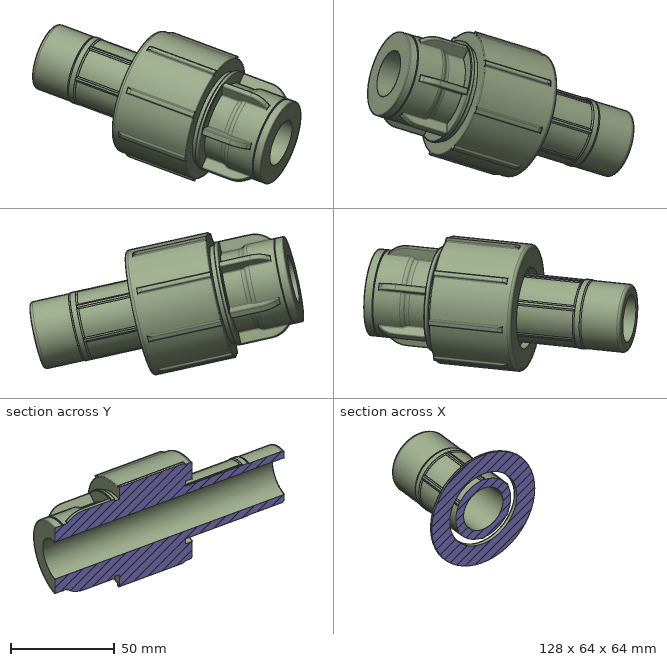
import cadquery as cq
import math

LENGTH = 128.0

bore_dia = 23.3
pipe_dia = 33.3
pipe_end_round = 1.7
shoulder_dia = 33.9
shoulder_start = 19.7
shoulder_end = 24.0
lead_in_slope = 0.8
back_slope = 0.9

pipe_rib_count = 6
pipe_rib_base = 2.7
pipe_rib_top = 1.2

nut_dia = 62.1
nut_start = 51.2
nut_end = 92.2
nut_round = 1.7
nut_recess_dia = 40.0
nut_recess_depth = 3.8

grip_count = 8
grip_dia = 64.0
grip_start = 55.3
grip_width = 2.7
grip_end_length = 2.2
grip_end_height = 0.8

collar_dia = 48.6
flange_dia = 51.2
flange_start = 94.5
flange_end = 96.5
neck_dia = 39.7
swell_start = 105.6
swell_end = 109.8
socket_dia = 42.4
groove_start = 123.4
groove_width = 0.4
groove_depth = 0.4

fin_count = 6
fin_thickness = 3.2
fin_arc_start = 111.7
fin_arc_end = 119.5
fin_arc_end_radius = 22.8
fin_end = 121.1
fin_root_round = 0.3

edge_round = 0.4
overlap = 1.3


def around_axis(feature, count):
    """Copies of a feature built at +Z, evenly spaced about the X axis."""
    copies = cq.Workplane("XY")
    for i in range(count):
        copies = copies.add(feature.rotate((0, 0, 0), (1, 0, 0), i * 360 / count))
    return copies


def turned_body():
    pipe_radius = pipe_dia / 2
    nut_radius = nut_dia / 2
    flange_radius = flange_dia / 2
    neck_radius = neck_dia / 2
    socket_radius = socket_dia / 2
    shoulder_radius = shoulder_dia / 2
    recess_floor = nut_start + nut_recess_depth
    swell_middle = ((swell_start + swell_end) / 2, (neck_radius + socket_radius) / 2)
    groove_end = groove_start + groove_width
    groove_radius = socket_radius - groove_depth
    return (
        cq.Workplane("XY")
        .moveTo(0, bore_dia / 2)
        .lineTo(0, pipe_radius - pipe_end_round)
        .radiusArc((pipe_end_round, pipe_radius), pipe_end_round)
        .lineTo(shoulder_start, pipe_radius)
        .lineTo(shoulder_start + lead_in_slope, shoulder_radius)
        .lineTo(shoulder_end - back_slope, shoulder_radius)
        .lineTo(shoulder_end, pipe_radius)
        .lineTo(recess_floor, pipe_radius)
        .lineTo(recess_floor, nut_recess_dia / 2)
        .lineTo(nut_start, nut_recess_dia / 2)
        .lineTo(nut_start, nut_radius - nut_round)
        .radiusArc((nut_start + nut_round, nut_radius), nut_round)
        .lineTo(nut_end - edge_round, nut_radius)
        .radiusArc((nut_end, nut_radius - edge_round), edge_round)
        .lineTo(nut_end, collar_dia / 2)
        .lineTo(flange_start, collar_dia / 2)
        .lineTo(flange_start, flange_radius - edge_round)
        .radiusArc((flange_start + edge_round, flange_radius), edge_round)
        .lineTo(flange_end - edge_round, flange_radius)
        .radiusArc((flange_end, flange_radius - edge_round), edge_round)
        .lineTo(flange_end, neck_radius)
        .lineTo(swell_start, neck_radius)
        .tangentArcPoint(swell_middle, relative=False)
        .tangentArcPoint((swell_end, socket_radius), relative=False)
        .lineTo(groove_start, socket_radius)
        .lineTo(groove_start, groove_radius)
        .lineTo(groove_end, groove_radius)
        .lineTo(groove_end, socket_radius)
        .lineTo(LENGTH - edge_round, socket_radius)
        .radiusArc((LENGTH, socket_radius - edge_round), edge_round)
        .lineTo(LENGTH, bore_dia / 2)
        .close()
        .revolve(360, (0, 0, 0), (1, 0, 0))
    )


def pipe_rib():
    """Low rib with sloped sides, flush with the shoulder."""
    start = shoulder_end - back_slope
    end = nut_start + nut_recess_depth
    half_base = pipe_rib_base / 2
    half_top = pipe_rib_top / 2
    foot = pipe_dia / 2 - overlap
    base_height = math.sqrt((pipe_dia / 2) ** 2 - half_base ** 2)
    top = shoulder_dia / 2
    return (
        cq.Workplane("YZ", origin=(start, 0, 0))
        .moveTo(-half_base, foot)
        .lineTo(half_base, foot)
        .lineTo(half_base, base_height)
        .lineTo(half_top, top)
        .lineTo(-half_top, top)
        .lineTo(-half_base, base_height)
        .close()
        .extrude(end - start)
    )


def grip_rib():
    """Rib with rounded top edges, flared root and a rounded front end."""
    nut_radius = nut_dia / 2
    top = grip_dia / 2
    foot = nut_radius - overlap
    half_wall = grip_width / 2
    half_top = half_wall - edge_round
    half_base = half_wall + edge_round
    base_height = math.sqrt(nut_radius ** 2 - half_base ** 2)
    bar = (
        cq.Workplane("YZ", origin=(grip_start, 0, 0))
        .moveTo(-half_base, foot)
        .lineTo(half_base, foot)
        .lineTo(half_base, base_height)
        .radiusArc((half_wall, base_height + edge_round), edge_round)
        .lineTo(half_wall, top - edge_round)
        .radiusArc((half_top, top), -edge_round)
        .lineTo(-half_top, top)
        .radiusArc((-half_wall, top - edge_round), -edge_round)
        .lineTo(-half_wall, base_height + edge_round)
        .radiusArc((-half_base, base_height), edge_round)
        .close()
        .extrude(nut_end - grip_start)
    )
    arc_radius = (grip_end_length ** 2 + grip_end_height ** 2) / (2 * grip_end_height)
    side_outline = (
        cq.Workplane("XZ")
        .moveTo(grip_start, foot)
        .lineTo(grip_start, top - grip_end_height)
        .radiusArc((grip_start + grip_end_length, top), arc_radius)
        .lineTo(nut_end, top)
        .lineTo(nut_end, foot)
        .close()
        .extrude(grip_width, both=True)
    )
    return bar.intersect(side_outline)


def fin():
    top = flange_dia / 2
    arc_drop = top - fin_arc_end_radius
    tip_slope = 2 * math.atan2(arc_drop, fin_arc_end - fin_arc_start)
    end_height = fin_arc_end_radius - (fin_end - fin_arc_end) * math.tan(tip_slope)
    foot = neck_dia / 2 - overlap
    return (
        cq.Workplane("XZ")
        .moveTo(flange_end, foot)
        .lineTo(flange_end, top)
        .lineTo(fin_arc_start, top)
        .tangentArcPoint((fin_arc_end, fin_arc_end_radius), relative=False)
        .lineTo(fin_end, end_height)
        .lineTo(fin_end, foot)
        .close()
        .extrude(fin_thickness / 2, both=True)
        .edges(">Z and (not |Y)")
        .fillet(edge_round)
    )


def is_fin_root(edge):
    """True for the lines where the fins meet the neck, the swell and the socket."""
    box = edge.BoundingBox()
    center = edge.Center()
    tolerance = 0.03
    beside_fin = flange_end - tolerance < box.xmin and box.xmax < fin_end + tolerance
    runs_lengthwise = box.xlen > tolerance
    on_round_body = math.hypot(center.y, center.z) < socket_dia / 2 + tolerance
    return beside_fin and runs_lengthwise and on_round_body


body = turned_body().union(around_axis(fin(), fin_count))
result = (
    body.edges().filter(is_fin_root).fillet(fin_root_round)
    .union(around_axis(pipe_rib(), pipe_rib_count))
    .union(around_axis(grip_rib(), grip_count))
)